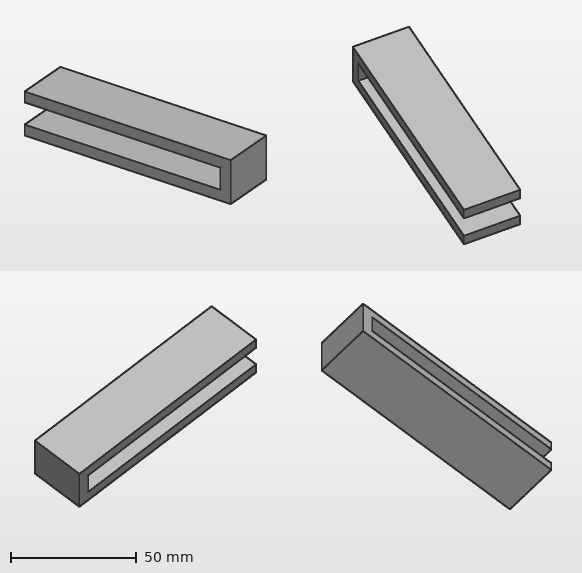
import cadquery as cq

length = 100.0
width = 25.0
height = 20.0
wall = 5.0

slot_length = length - wall
slot_height = height - 2 * wall

block = cq.Workplane("XY").box(length, width, height)
slot = (
    cq.Workplane("XY")
    .box(slot_length, width, slot_height)
    .translate((-wall / 2, 0, 0))
)

result = block.cut(slot)